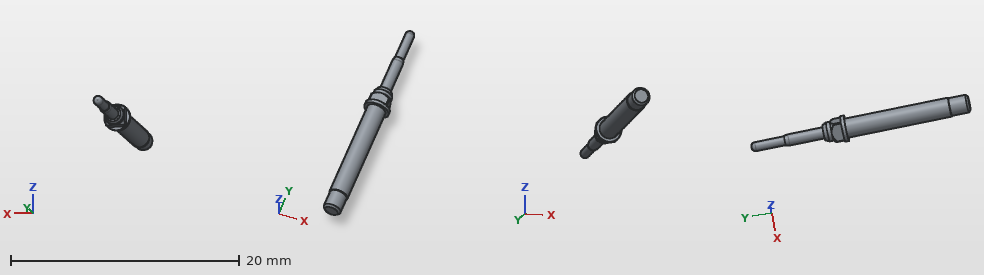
import cadquery as cq

length = 19.5

tail_radius = 0.8
barrel_radius = 0.85
flange_radius = 1.15
collar_tip_radius = 0.68
sleeve_radius = 0.5
sleeve_tip_radius = 0.45
plunger_radius = 0.4

tail_length = 1.7
barrel_length = 9.3
flange_length = 0.33
square_length = 0.98
collar_band_length = 0.35
collar_cone_length = 0.37
plunger_length = 3.0
sleeve_cone_length = 0.35

tail_chamfer = 0.2
barrel_chamfer = 0.04
tip_fillet = 0.37
square_width = 2 * barrel_radius

barrel_end = tail_length + barrel_length
flange_end = barrel_end + flange_length
square_end = flange_end + square_length
collar_band_end = square_end + collar_band_length
collar_end = collar_band_end + collar_cone_length
plunger_start = length - plunger_length
sleeve_end = plunger_start - sleeve_cone_length

corner_cone_length = flange_radius - barrel_radius


def revolve_about_y(outline):
    return outline.close().revolve(360, (0, 0, 0), (0, 1, 0))


def make_turned_body():
    outline = (
        cq.Workplane("XY")
        .lineTo(tail_radius - tail_chamfer, 0)
        .lineTo(tail_radius, tail_chamfer)
        .lineTo(tail_radius, tail_length)
        .lineTo(barrel_radius - barrel_chamfer, tail_length)
        .lineTo(barrel_radius, tail_length + barrel_chamfer)
        .lineTo(barrel_radius, barrel_end)
        .lineTo(flange_radius, barrel_end)
        .lineTo(flange_radius, flange_end)
        .lineTo(barrel_radius, flange_end)
        .lineTo(barrel_radius, collar_band_end)
        .lineTo(collar_tip_radius, collar_end)
        .lineTo(sleeve_radius, collar_end)
        .lineTo(sleeve_radius, sleeve_end)
        .lineTo(sleeve_tip_radius, plunger_start)
        .lineTo(plunger_radius, plunger_start)
        .lineTo(plunger_radius, length)
        .lineTo(0, length)
    )
    return revolve_about_y(outline).faces(">Y").edges().fillet(tip_fillet)


def make_square_section():
    blank = revolve_about_y(
        cq.Workplane("XY")
        .moveTo(0, flange_end)
        .lineTo(flange_radius, flange_end)
        .lineTo(flange_radius, square_end - corner_cone_length)
        .lineTo(barrel_radius, square_end)
        .lineTo(0, square_end)
    )
    square_bar = cq.Workplane("XY").box(square_width, length, square_width)
    square_bar = square_bar.translate((0, length / 2, 0))
    return blank.intersect(square_bar)


result = make_turned_body().union(make_square_section())